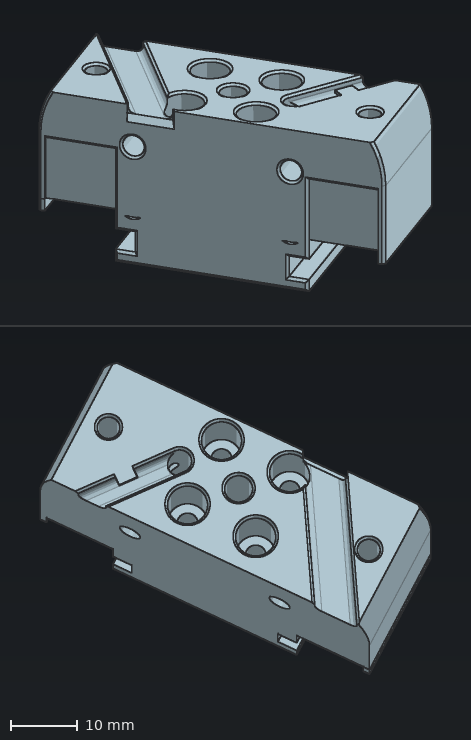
import cadquery as cq
import math

LENGTH = 55
DEPTH = 21.0
HEIGHT = 26.7
HALF_LENGTH = LENGTH / 2
FRONT_CHAMFER = 0.45

TOP_INSET = 1.85
SHOULDER_ARC_Z = 19.75
CHEEK_THICKNESS = 1.05
CHEEK_BOTTOM_Z = 6.65
ROOF_Z = 18.75
PANEL_BOTTOM_Z = 8.65
STEM_HALF_WIDTH = 15.35
RAIL_SLOT_DEPTH = 3.15
RAIL_SLOT_TOP_Z = 5.4
FOOT_THICKNESS = 2.0

EDGE_CHAMFER = 0.4
HOLE_ROW_Y = 9.7
CENTRE_HOLE_DIAMETER = 4.2
SMALL_HOLE_DIAMETER = 3.4
END_HOLE_X = 21.7
CROSS_HOLE_X = 12.5
CROSS_HOLE_Z = 19.7
SCREW_DIAMETER = 3.0
SCREW_HEAD_DIAMETER = 6.0
SCREW_HEAD_DEPTH = 8.25
SCREW_SPACING = 11.4

CRESCENT_CENTRE_Z = 9.7

GROOVE_DEPTH = 2.0
GROOVE_FILLET = 1.0
WIDE_GROOVE_WIDTH = 6.05
WIDE_GROOVE_FRONT_X = -9.4
WIDE_GROOVE_ANGLE = 30.7
MOUTH_FLARE = 1.0
WIRE_HOLE_X = 9.85
WIRE_DIAMETER = 3.6
WIRE_GROOVE_ANGLE = -38.5

TAB_DISTANCE = 8.3
TAB_LENGTH = 3.0
TAB_REACH = 1.5
TAB_THICKNESS = 0.45


def outer_profile():
    """Closed front outline, extruded over the full depth."""
    cheek_inner = HALF_LENGTH - CHEEK_THICKNESS
    slot_x = STEM_HALF_WIDTH - RAIL_SLOT_DEPTH
    rise = HEIGHT - SHOULDER_ARC_Z
    radius = (rise**2 + TOP_INSET**2) / (2 * TOP_INSET)
    half_angle = math.asin(rise / radius) / 2
    arc_mid = (
        HALF_LENGTH - radius * (1 - math.cos(half_angle)),
        SHOULDER_ARC_Z + radius * math.sin(half_angle),
    )
    lower_right = [
        (HALF_LENGTH, CHEEK_BOTTOM_Z),
        (cheek_inner, CHEEK_BOTTOM_Z),
        (cheek_inner, ROOF_Z),
        (STEM_HALF_WIDTH, ROOF_Z),
        (STEM_HALF_WIDTH, RAIL_SLOT_TOP_Z),
        (slot_x, RAIL_SLOT_TOP_Z),
        (slot_x, FOOT_THICKNESS),
        (STEM_HALF_WIDTH, FOOT_THICKNESS),
        (STEM_HALF_WIDTH, 0),
    ]
    lower_left = [(-x, z) for x, z in reversed(lower_right)]
    outline = (
        cq.Workplane("XZ")
        .moveTo(HALF_LENGTH - TOP_INSET, HEIGHT)
        .threePointArc(arc_mid, (HALF_LENGTH, SHOULDER_ARC_Z))
    )
    for x, z in lower_right + lower_left:
        outline = outline.lineTo(x, z)
    return (
        outline.lineTo(-HALF_LENGTH, SHOULDER_ARC_Z)
        .threePointArc((-arc_mid[0], arc_mid[1]), (TOP_INSET - HALF_LENGTH, HEIGHT))
        .close()
        .extrude(-DEPTH)
    )


def is_chamfered(edge):
    """True unless the front edge is the top one or borders a cheek's inner side or bottom."""
    centre = edge.Center()
    on_top = centre.z > HEIGHT - EDGE_CHAMFER
    on_cheek = abs(centre.x) > HALF_LENGTH - 2 * CHEEK_THICKNESS
    on_outer_side = abs(centre.x) > HALF_LENGTH - EDGE_CHAMFER or centre.z > SHOULDER_ARC_Z
    return not on_top and (on_outer_side or not on_cheek)


def chamfered_block():
    """Extruded outline with its front edges chamfered."""
    block = outer_profile()
    edges = [edge for edge in block.faces("<Y").edges().vals() if is_chamfered(edge)]
    return block.newObject(edges).chamfer(FRONT_CHAMFER)


def panel(side):
    """Filling between one cheek and the stem, running into both, set back by the front chamfer."""
    inner = STEM_HALF_WIDTH - RAIL_SLOT_DEPTH
    outer = HALF_LENGTH - CHEEK_THICKNESS / 2
    filling = cq.Workplane("XY").box(
        outer - inner,
        DEPTH - FRONT_CHAMFER,
        ROOF_Z - PANEL_BOTTOM_Z,
        centered=(True, False, False),
    )
    return filling.translate((side * (inner + outer) / 2, FRONT_CHAMFER, PANEL_BOTTOM_Z))


def countersink(diameter):
    """Cone around +Z that chamfers the rim of a hole whose mouth is at the origin."""
    radius = diameter / 2
    return cq.Workplane(cq.Solid.makeCone(radius, radius + EDGE_CHAMFER, EDGE_CHAMFER)).translate(
        (0, 0, -EDGE_CHAMFER)
    )


def top_hole(x, y, diameter, depth):
    """Chamfered hole going down from the top face."""
    bore = cq.Workplane("XY").circle(diameter / 2).extrude(-depth)
    return bore.union(countersink(diameter)).translate((x, y, HEIGHT))


def front_countersink(x, z):
    """Chamfer of a small hole that opens in the front face."""
    return countersink(SMALL_HOLE_DIAMETER).rotate((0, 0, 0), (1, 0, 0), 90).translate((x, 0, z))


def cross_hole(x):
    """Chamfered hole through the block from front to back."""
    bore = cq.Workplane("XZ").circle(SMALL_HOLE_DIAMETER / 2).extrude(-DEPTH)
    return bore.translate((x, 0, CROSS_HOLE_Z)).union(front_countersink(x, CROSS_HOLE_Z))


def crescent(x):
    """Lowest part of a hole chamfer, below a flat tangent to the hole."""
    flat_z = CRESCENT_CENTRE_Z - SMALL_HOLE_DIAMETER / 2
    below = cq.Workplane("XY").box(LENGTH, DEPTH, flat_z, centered=(True, True, False))
    return front_countersink(x, CRESCENT_CENTRE_Z).intersect(below)


def groove_plane(x, y, angle):
    """Plane across a groove: local X to the groove's left, local Y up, normal along the groove."""
    turn = math.radians(angle)
    along = (-math.sin(turn), math.cos(turn), 0)
    left = (-math.cos(turn), -math.sin(turn), 0)
    return cq.Plane(origin=(x, y, HEIGHT), xDir=left, normal=along)


def channel(plane, width, start):
    """Groove with filleted bottom corners, from a start distance to beyond the block."""
    return (
        cq.Workplane(plane)
        .workplane(offset=start)
        .rect(width, 2 * GROOVE_DEPTH)
        .extrude(LENGTH)
        .edges(cq.selectors.ParallelDirSelector(plane.zDir))
        .edges("<Z")
        .fillet(GROOVE_FILLET)
    )


def rim_chamfer(plane, width, side, start):
    """Chamfer strip along one rim of a groove; side is 1 for the left rim, -1 for the right."""
    wall = side * width / 2
    return (
        cq.Workplane(plane)
        .workplane(offset=start)
        .polyline([(wall, 0), (wall + side * EDGE_CHAMFER, 0), (wall, -EDGE_CHAMFER)])
        .close()
        .extrude(LENGTH)
    )


def wide_groove():
    """Groove across the whole top, its right rim chamfered only behind the screw recess."""
    plane = groove_plane(WIDE_GROOVE_FRONT_X, 0, WIDE_GROOVE_ANGLE)
    right_rim_start = HOLE_ROW_Y - SCREW_SPACING / 2
    return (
        channel(plane, WIDE_GROOVE_WIDTH, -WIDE_GROOVE_WIDTH)
        .union(rim_chamfer(plane, WIDE_GROOVE_WIDTH, 1, -WIDE_GROOVE_WIDTH))
        .union(rim_chamfer(plane, WIDE_GROOVE_WIDTH, -1, right_rim_start))
    )


def groove_mouth():
    """Sloped floor where the wide groove leaves the front face."""
    turn = math.radians(WIDE_GROOVE_ANGLE)
    half_width = WIDE_GROOVE_WIDTH / 2 / math.cos(turn)
    left = WIDE_GROOVE_FRONT_X - half_width - EDGE_CHAMFER / math.cos(turn)
    right = WIDE_GROOVE_FRONT_X + half_width
    lean = MOUTH_FLARE * math.tan(turn)
    bottom = HEIGHT - GROOVE_DEPTH - MOUTH_FLARE
    footprint = (
        cq.Workplane("XY", origin=(0, 0, bottom))
        .polyline([(left, 0), (right, 0), (right - lean, MOUTH_FLARE), (left - lean, MOUTH_FLARE)])
        .close()
        .extrude(HEIGHT - bottom)
    )
    slope = (
        cq.Workplane("YZ")
        .polyline([(0, HEIGHT), (0, bottom), (MOUTH_FLARE, HEIGHT - GROOVE_DEPTH), (MOUTH_FLARE, HEIGHT)])
        .close()
        .extrude(LENGTH, both=True)
    )
    return footprint.intersect(slope)


def wire_groove(plane):
    """Groove from the wire hole to the back."""
    groove = channel(plane, WIRE_DIAMETER, 0)
    for side in (-1, 1):
        groove = groove.union(rim_chamfer(plane, WIRE_DIAMETER, side, 0))
    return groove


def wire_tab(plane):
    """Flat tab that reaches from the right rim over the wire groove."""
    outer = WIRE_DIAMETER / 2 + EDGE_CHAMFER
    inner = WIRE_DIAMETER / 2 - TAB_REACH
    return (
        cq.Workplane(plane)
        .workplane(offset=TAB_DISTANCE - TAB_LENGTH / 2)
        .center(-(outer + inner) / 2, -TAB_THICKNESS / 2)
        .rect(outer - inner, TAB_THICKNESS)
        .extrude(TAB_LENGTH)
    )


def whole_block():
    """Housing with its left cheek tip still attached."""
    block = chamfered_block()
    for side in (-1, 1):
        block = block.union(panel(side))

    block = block.cut(wide_groove()).cut(groove_mouth())
    wire_plane = groove_plane(WIRE_HOLE_X, HOLE_ROW_Y, WIRE_GROOVE_ANGLE)
    block = block.cut(wire_groove(wire_plane)).union(wire_tab(wire_plane))

    block = block.cut(top_hole(0, HOLE_ROW_Y, CENTRE_HOLE_DIAMETER, HEIGHT))
    block = block.cut(top_hole(WIRE_HOLE_X, HOLE_ROW_Y, WIRE_DIAMETER, HEIGHT))
    for side in (-1, 1):
        block = block.cut(top_hole(side * END_HOLE_X, HOLE_ROW_Y, SMALL_HOLE_DIAMETER, HEIGHT))
        block = block.cut(cross_hole(side * CROSS_HOLE_X))
        block = block.cut(crescent(side * CROSS_HOLE_X))
        for row in (-1, 1):
            x = side * SCREW_SPACING / 2
            y = HOLE_ROW_Y + row * SCREW_SPACING / 2
            block = block.cut(top_hole(x, y, SCREW_HEAD_DIAMETER, SCREW_HEAD_DEPTH))
            block = block.cut(cq.Workplane("XY").center(x, y).circle(SCREW_DIAMETER / 2).extrude(HEIGHT))
    return block


def tip_region():
    """Space of the left cheek below the panel's underside."""
    width = 2 * CHEEK_THICKNESS
    return (
        cq.Workplane("XY")
        .box(width, DEPTH, PANEL_BOTTOM_Z, centered=(True, False, False))
        .translate((-HALF_LENGTH, 0, 0))
    )


block = whole_block()
housing = block.cut(tip_region())
cheek_tip = block.intersect(tip_region())

result = cq.Compound.makeCompound([housing.val(), cheek_tip.val()])